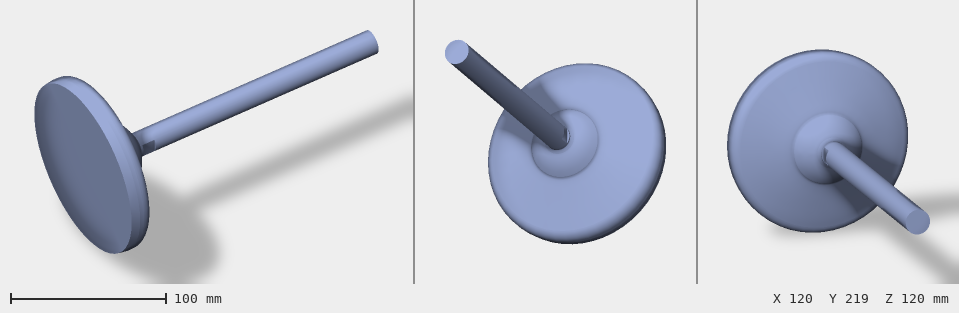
import cadquery as cq
import math

foot_radius = 60.0
underside_radius = 59.1
taper_height = 6.0
rim_height = 9.0
shoulder_radius = 7.2
cone_angle = math.radians(19.5)
cone_inner_radius = 24.3
dome_outer_radius = 22.8
dome_sphere_radius = 28.0
dome_center_height = 11.8
dome_top_radius = 10.3
lip_height = 39.5

total_length = 219.0
rod_radius = 8.21
seat_height = 27.8
flat_width = 13.0
flat_start = 41.0
flat_end = 50.2


def dome_height(radius):
    """Height of the spherical dome at a distance from the axis."""
    return dome_center_height + math.sqrt(dome_sphere_radius**2 - radius**2)


def rod_cylinder():
    """Full rod, used both for the spindle and for its socket."""
    return (
        cq.Workplane("XZ", origin=(0, seat_height, 0))
        .circle(rod_radius)
        .extrude(seat_height - total_length)
    )


def shoulder_point(angle):
    """Point on the shoulder arc, with the angle measured up from the rim."""
    return (
        foot_radius - shoulder_radius * (1 - math.cos(angle)),
        rim_height + shoulder_radius * math.sin(angle),
    )


def make_foot():
    """Revolve the foot profile and bore the socket for the spindle."""
    shoulder_angle = math.pi / 2 - cone_angle
    shoulder_end = shoulder_point(shoulder_angle)
    cone_width = shoulder_end[0] - cone_inner_radius
    cone_top = shoulder_end[1] + cone_width * math.tan(cone_angle)
    dome_middle_radius = (dome_outer_radius + dome_top_radius) / 2

    profile = (
        cq.Workplane("XY")
        .lineTo(underside_radius, 0)
        .lineTo(foot_radius, taper_height)
        .lineTo(foot_radius, rim_height)
        .threePointArc(shoulder_point(shoulder_angle / 2), shoulder_end)
        .lineTo(cone_inner_radius, cone_top)
        .tangentArcPoint((dome_outer_radius, dome_height(dome_outer_radius)), relative=False)
        .threePointArc(
            (dome_middle_radius, dome_height(dome_middle_radius)),
            (dome_top_radius, dome_height(dome_top_radius)),
        )
        .lineTo(rod_radius, lip_height)
        .lineTo(0, lip_height)
        .close()
    )
    solid = profile.revolve(360, (0, 0, 0), (0, 1, 0))
    return solid.cut(rod_cylinder())


def make_spindle():
    """Rod with a pair of opposite wrench flats facing -X and +X."""
    flat_length = flat_end - flat_start
    flat_middle = (flat_start + flat_end) / 2
    flat_offset = (flat_width + rod_radius) / 2
    spindle = rod_cylinder()
    for side in (-1, 1):
        cutter = cq.Workplane("XY").box(rod_radius, flat_length, 2 * rod_radius)
        spindle = spindle.cut(cutter.translate((side * flat_offset, flat_middle, 0)))
    return spindle


foot = make_foot()
spindle = make_spindle()

result = cq.Compound.makeCompound([foot.val(), spindle.val()])